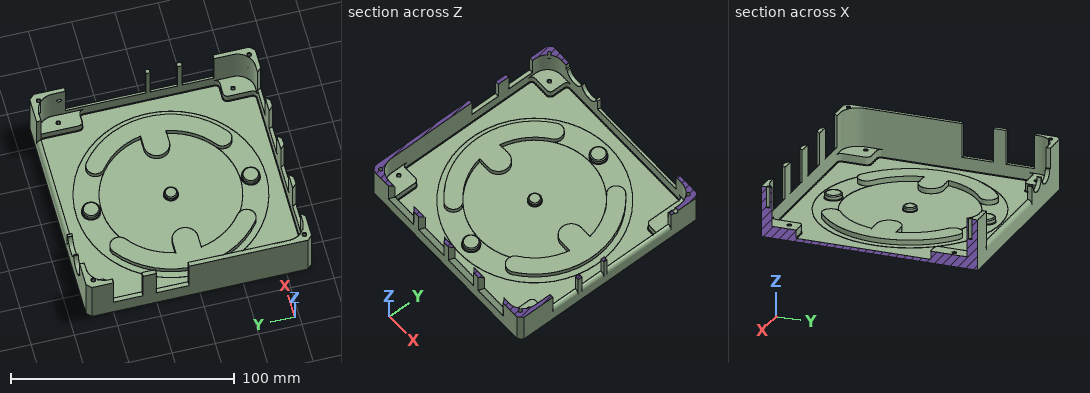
import cadquery as cq
import math

LENGTH = 105.1
WIDTH = 104.4
HEIGHT = 24.7
CORNER_CHAMFER = 2.2
WALL = 2.1
FLOOR = 2.0
PAD_TOP = 6.0
CAVITY_RADIUS = 8.3
FOOT_CHAMFER = 0.3

INNER_X = LENGTH / 2 - WALL
INNER_Y = WIDTH / 2 - WALL

PADS = [(-38.2, 39.8), (42.6, 29.4), (-39.6, -35.2), (41.0, -35.2)]
PAD_RADIUS = 2.0
PAD_HOLES = [(-43.2, 43.8), (46.5, 39.9), (-47.4, -40.0), (44.6, -40.3)]

TOP_HOLES = [(-48.8, 48.4), (48.7, 48.6), (-49.2, -49.1), (48.7, -48.8)]
TOP_HOLE_DEPTH = 10.0
PAD_HOLE_DEPTH = PAD_TOP - FLOOR
SCREW_HOLE_DIAMETER = 1.6
COUNTERSINK_DIAMETER = 2.0

SEAT_X = -0.3
RING_OUTER_RADIUS = 43.8
RING_INNER_RADIUS = 32.2
RING_RISE = 0.1
CRESCENT_OUTER_RADIUS = 40.8
CRESCENT_HEIGHT = 2.5
CRESCENT_HALF_ANGLE = 53.6
TAB_RADIUS = 5.9
TAB_CENTRE_RADIUS = 25.6
CENTRE_PIN_DIAMETER = 6.1
CENTRE_PIN_HEIGHT = 2.0
RING_PIN_DIAMETER = 8.0
RING_PIN_HEIGHT = CRESCENT_HEIGHT - RING_RISE
RING_PIN_OFFSET = 36.9
PIN_CHAMFER = 0.5

SILL = 8.3
LEFT_OPENINGS = [(5.0, 20.2), (26.4, 39.9)]
RIGHT_OPENINGS = [(-33.0, -18.4), (-16.1, -3.6), (-1.6, 35.5)]
FRONT_OPENING_CENTRES = [-31.1, -9.9, 11.0, 32.0]
FRONT_OPENING_WIDTH = 13.5
FRONT_SILL = 9.6
BACK_OPENING = (-39.1, 38.2)
CRADLE_END = -16.8
CRADLE_TOP = 14.8
CRADLE_CENTRES = [-33.3, -23.0]
CRADLE_DIAMETER = 9.8
SIDE_HOLE_Y = 38.6
SIDE_HOLE_Z = 17.9
SIDE_HOLE_DIAMETER = 2.0


def block(x0, x1, y0, y1, z0, z1):
    """Box spanning the given corner coordinates."""
    return cq.Workplane("XY").box(x1 - x0, y1 - y0, z1 - z0, centered=False).translate((x0, y0, z0))


def cylinder(x, y, z, diameter, height):
    """Upright cylinder standing on height z."""
    return cq.Workplane("XY").circle(diameter / 2).extrude(height).translate((x, y, z))


def turned(profile):
    """Solid of revolution about Z from (radius, height) points."""
    return cq.Workplane("XZ").polyline(profile).close().revolve(360, (0, 0, 0), (0, 1, 0))


def tray():
    """Chamfered block with a round-cornered upper cavity and a lower pocket that leaves the pads."""
    body = cq.Workplane("XY").box(LENGTH, WIDTH, HEIGHT, centered=(True, True, False))
    body = body.edges("|Z").chamfer(CORNER_CHAMFER)
    upper = block(-INNER_X, INNER_X, -INNER_Y, INNER_Y, PAD_TOP, HEIGHT)
    upper = upper.edges("|Z").fillet(CAVITY_RADIUS)
    lower = block(-INNER_X, INNER_X, -INNER_Y, INNER_Y, FLOOR, PAD_TOP)
    for x, y in PADS:
        corner_x = math.copysign(INNER_X, x)
        corner_y = math.copysign(INNER_Y, y)
        x0, x1 = sorted((x, corner_x))
        y0, y1 = sorted((y, corner_y))
        lower = lower.cut(block(x0, x1, y0, y1, FLOOR, PAD_TOP))
    lower = lower.edges("|Z").fillet(PAD_RADIUS)
    lower = lower.faces("<Z").chamfer(FOOT_CHAMFER)
    return body.cut(upper).cut(lower)


def seat_ring():
    """Ring standing very slightly above the floor."""
    ring = cq.Workplane("XY").circle(RING_OUTER_RADIUS).circle(RING_INNER_RADIUS).extrude(RING_RISE)
    return ring.translate((SEAT_X, 0, FLOOR))


def crescent(side):
    """Arc-shaped rib with round ends and a finger pointing at the centre; side is +1 or -1."""
    mid_radius = (CRESCENT_OUTER_RADIUS + RING_INNER_RADIUS) / 2
    cap_radius = (CRESCENT_OUTER_RADIUS - RING_INNER_RADIUS) / 2
    angle = math.radians(CRESCENT_HALF_ANGLE)

    def polar(radius, sign):
        return (side * radius * math.cos(angle), sign * radius * math.sin(angle))

    arc = (
        cq.Workplane("XY")
        .moveTo(*polar(CRESCENT_OUTER_RADIUS, -1))
        .threePointArc((side * CRESCENT_OUTER_RADIUS, 0), polar(CRESCENT_OUTER_RADIUS, 1))
        .lineTo(*polar(RING_INNER_RADIUS, 1))
        .threePointArc((side * RING_INNER_RADIUS, 0), polar(RING_INNER_RADIUS, -1))
        .close()
        .extrude(CRESCENT_HEIGHT)
    )
    for sign in (-1, 1):
        arc = arc.union(cylinder(*polar(mid_radius, sign), 0, 2 * cap_radius, CRESCENT_HEIGHT))
    x0, x1 = sorted((side * TAB_CENTRE_RADIUS, side * mid_radius))
    arc = arc.union(block(x0, x1, -TAB_RADIUS, TAB_RADIUS, 0, CRESCENT_HEIGHT))
    arc = arc.union(cylinder(side * TAB_CENTRE_RADIUS, 0, 0, 2 * TAB_RADIUS, CRESCENT_HEIGHT))
    return arc.translate((SEAT_X, 0, FLOOR))


def pin(y, base, diameter, height):
    """Pin on the seat standing on height base, with a chamfered top and a conical foot."""
    radius = diameter / 2
    profile = [
        (0, 0),
        (radius + FOOT_CHAMFER, 0),
        (radius, FOOT_CHAMFER),
        (radius, height - PIN_CHAMFER),
        (radius - PIN_CHAMFER, height),
        (0, height),
    ]
    return turned(profile).translate((SEAT_X, y, base))


def rounded_sill_cutter(span):
    """Opening through the wall at +X over the given Y span, its sill rounded down to the outside."""
    y0, y1 = span
    diagonal = WALL * math.sqrt(0.5)
    return (
        cq.Workplane("XZ")
        .moveTo(INNER_X, SILL)
        .threePointArc((INNER_X + diagonal, SILL - WALL + diagonal), (LENGTH / 2, SILL - WALL))
        .lineTo(LENGTH / 2, HEIGHT)
        .lineTo(INNER_X, HEIGHT)
        .close()
        .extrude(y0 - y1)
        .translate((0, y0, 0))
    )


def front_opening(centre):
    """Opening in the -Y wall whose sides and sill flare outward at 45 degrees."""
    inner = FRONT_OPENING_WIDTH / 2
    outer = inner + WALL
    height = HEIGHT - FRONT_SILL
    return (
        cq.Workplane("XZ", origin=(centre, -INNER_Y, FRONT_SILL))
        .polyline([(-inner, 0), (inner, 0), (inner, height), (-inner, height)])
        .close()
        .workplane(offset=WALL)
        .polyline([(-outer, -WALL), (outer, -WALL), (outer, height), (-outer, height)])
        .close()
        .loft(ruled=True)
    )


def back_openings():
    """Low opening in the +Y wall next to a taller stretch with two half-round cradles."""
    start, end = BACK_OPENING
    low = rounded_sill_cutter((-end, -CRADLE_END))
    low = low.rotate((0, 0, 0), (0, 0, 1), 90).translate((0, (WIDTH - LENGTH) / 2, 0))
    cutter = low.union(block(start, CRADLE_END, INNER_Y, WIDTH / 2, CRADLE_TOP, HEIGHT))
    for x in CRADLE_CENTRES:
        cradle = cq.Workplane("XZ", origin=(x, WIDTH / 2, CRADLE_TOP)).circle(CRADLE_DIAMETER / 2)
        cutter = cutter.union(cradle.extrude(WALL))
    return cutter


def screw_hole(x, y, top, depth):
    """Blind hole cut down from height top, with a 45 degree countersink."""
    radius = SCREW_HOLE_DIAMETER / 2
    mouth = COUNTERSINK_DIAMETER / 2
    profile = [(0, -depth), (radius, -depth), (radius, radius - mouth), (mouth, 0), (0, 0)]
    return turned(profile).translate((x, y, top))


result = tray().union(seat_ring())
for side in (-1, 1):
    result = result.union(crescent(side))
result = result.union(pin(0, FLOOR, CENTRE_PIN_DIAMETER, CENTRE_PIN_HEIGHT))
for y in (-RING_PIN_OFFSET, RING_PIN_OFFSET):
    result = result.union(pin(y, FLOOR + RING_RISE, RING_PIN_DIAMETER, RING_PIN_HEIGHT))

for y0, y1 in LEFT_OPENINGS:
    result = result.cut(block(-LENGTH / 2, -INNER_X, y0, y1, SILL, HEIGHT))
for span in RIGHT_OPENINGS:
    result = result.cut(rounded_sill_cutter(span))
for centre in FRONT_OPENING_CENTRES:
    result = result.cut(front_opening(centre))
result = result.cut(back_openings())

for x, y in PAD_HOLES:
    result = result.cut(screw_hole(x, y, PAD_TOP, PAD_HOLE_DEPTH))
for x, y in TOP_HOLES:
    result = result.cut(screw_hole(x, y, HEIGHT, TOP_HOLE_DEPTH))
side_hole = cq.Workplane("YZ", origin=(INNER_X, SIDE_HOLE_Y, SIDE_HOLE_Z)).circle(SIDE_HOLE_DIAMETER / 2)
result = result.cut(side_hole.extrude(WALL))